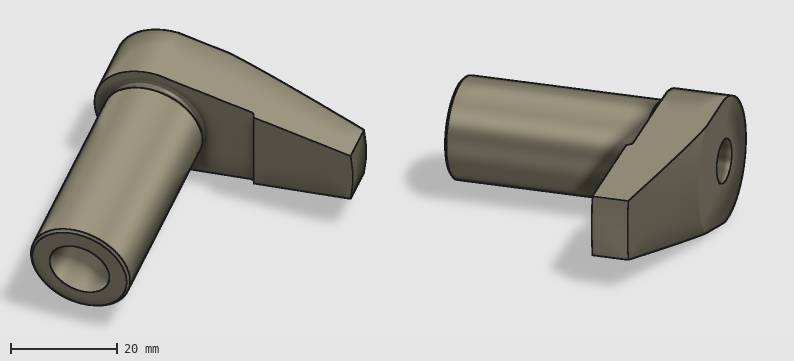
import cadquery as cq
import math

total_length = 52.5
head_radius = 12.5
head_thickness = 11.5
tip_radius = 40.0
tip_half_width = 6.0
step_x = 20.0
step_height = 1.0
slope_start_radius = 15.0
slope_angle = 12.0
shaft_radius = 20.0 / 2
shaft_chamfer = 0.5
hole_radius = 8.6 / 2
bore_radius = 12.0 / 2
undercut_depth = 0.5
undercut_radius = 0.95

shaft_length = total_length - head_thickness
undercut_center_r = shaft_radius - undercut_depth + undercut_radius
undercut_half_chord = math.sqrt(undercut_radius**2 - (undercut_center_r - shaft_radius)**2)


def cylinder_along_y(radius, y_start, y_end):
    """Solid cylinder on the pivot axis between two Y positions."""
    profile = cq.Workplane("XZ", origin=(0, y_end, 0)).circle(radius)
    return profile.extrude(y_end - y_start)


def make_arm():
    """Round head tapering to a tip whose end is an arc about the pivot axis."""
    tip_x = math.sqrt(tip_radius**2 - tip_half_width**2)
    return (
        cq.Workplane("XZ", origin=(0, head_thickness, 0))
        .moveTo(0, head_radius)
        .lineTo(tip_x, tip_half_width)
        .threePointArc((tip_radius, 0), (tip_x, -tip_half_width))
        .lineTo(0, -head_radius)
        .threePointArc((-head_radius, 0), (0, head_radius))
        .close()
        .extrude(head_thickness + step_height)
    )


def make_step_relief():
    """Material under the head, ending in a concave quarter round at the clamping pad."""
    diagonal = step_height * math.sqrt(0.5)
    return (
        cq.Workplane("XY", origin=(0, 0, -head_radius))
        .moveTo(-head_radius, -step_height)
        .lineTo(step_x, -step_height)
        .threePointArc(
            (step_x - step_height + diagonal, -step_height + diagonal),
            (step_x - step_height, 0),
        )
        .lineTo(-head_radius, 0)
        .close()
        .extrude(2 * head_radius)
    )


def make_slope_cutter():
    """Ring above the conical back of the arm."""
    slope_drop = (tip_radius - slope_start_radius) * math.tan(math.radians(slope_angle))
    return (
        cq.Workplane("XY")
        .moveTo(slope_start_radius, head_thickness)
        .lineTo(tip_radius, head_thickness)
        .lineTo(tip_radius, head_thickness - slope_drop)
        .close()
        .revolve(360, (0, 0, 0), (0, 1, 0))
    )


def make_undercut():
    """Rounded relief groove in the shaft, running out tangent to the head face."""
    shaft_edge_y = -undercut_radius - undercut_half_chord
    return (
        cq.Workplane("XY")
        .moveTo(shaft_radius, shaft_edge_y)
        .threePointArc(
            (shaft_radius - undercut_depth, -undercut_radius),
            (undercut_center_r, 0),
        )
        .lineTo(undercut_center_r, shaft_edge_y)
        .close()
        .revolve(360, (0, 0, 0), (0, 1, 0))
    )


arm = make_arm().cut(make_step_relief()).cut(make_slope_cutter())
shaft = cylinder_along_y(shaft_radius, -shaft_length, 0).faces("<Y").chamfer(shaft_chamfer)
collar = cylinder_along_y(undercut_center_r, -undercut_radius, 0)
hole = cylinder_along_y(hole_radius, -shaft_length, head_thickness)
bore = cylinder_along_y(bore_radius, -shaft_length, 0)

result = arm.union(shaft).union(collar).cut(make_undercut()).cut(hole).cut(bore)